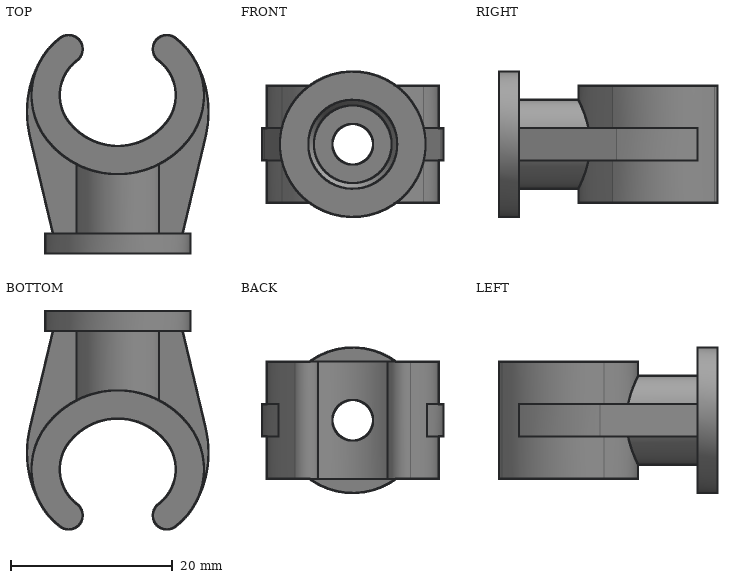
import cadquery as cq
import math

total_length = 27.0

flange_diameter = 18.0
flange_thickness = 2.5
neck_diameter = 11.0
hole_diameter = 5.0
recess_mouth_diameter = 11.0
recess_floor_diameter = 9.6
recess_depth = 1.5

clip_height = 14.5
clip_wall = 3.5
clip_bottom_y = 9.8
side_center_x = 1.75
side_center_y = 19.55
side_outer_radius = 8.9

gusset_thickness = 4.0
gusset_width = 22.47
gusset_base_width = 16.06
gusset_widest_y = 17.5
gusset_side_radius = 12.8
gusset_top_y = 24.5


def point_at(center, radius, angle):
    """Point on a circle at the given angle in radians."""
    return (center[0] + radius * math.cos(angle), center[1] + radius * math.sin(angle))


def mirrored(point):
    """Point reflected across X = 0."""
    return (-point[0], point[1])


bottom_offset = side_center_y - side_outer_radius - clip_bottom_y
center_distance = (side_center_x**2 + bottom_offset**2) / (2 * bottom_offset)
bottom_outer_radius = side_outer_radius + center_distance
bottom_center = (0, clip_bottom_y + bottom_outer_radius)
side_center = (side_center_x, side_center_y)
joint_angle = math.atan2(side_center_y - bottom_center[1], side_center_x)
side_middle_radius = side_outer_radius - clip_wall / 2
tip_angle = math.asin((total_length - clip_wall / 2 - side_center_y) / side_middle_radius)
tip_center = point_at(side_center, side_middle_radius, tip_angle)


def clip_arc_points(inset):
    """Right tip end, middle of side arc and tangent joint of the wall line at this inset."""
    radius = side_outer_radius - inset
    tip_end = point_at(side_center, radius, tip_angle)
    side_middle = point_at(side_center, radius, (tip_angle + joint_angle) / 2)
    joint = point_at(side_center, radius, joint_angle)
    return tip_end, side_middle, joint


def make_clip():
    outer_end, outer_middle, outer_joint = clip_arc_points(0)
    inner_end, inner_middle, inner_joint = clip_arc_points(clip_wall)
    tip_top = point_at(tip_center, clip_wall / 2, tip_angle + math.pi / 2)
    return (
        cq.Workplane("XY")
        .moveTo(*outer_end)
        .threePointArc(outer_middle, outer_joint)
        .threePointArc((0, clip_bottom_y), mirrored(outer_joint))
        .threePointArc(mirrored(outer_middle), mirrored(outer_end))
        .threePointArc(mirrored(tip_top), mirrored(inner_end))
        .threePointArc(mirrored(inner_middle), mirrored(inner_joint))
        .threePointArc((0, clip_bottom_y + clip_wall), inner_joint)
        .threePointArc(inner_middle, inner_end)
        .threePointArc(tip_top, outer_end)
        .close()
        .extrude(clip_height / 2, both=True)
    )


def make_gusset():
    widest = (gusset_width / 2, gusset_widest_y)
    base = (gusset_base_width / 2, flange_thickness)

    arc_center = (widest[0] - gusset_side_radius, gusset_widest_y)
    base_dx = base[0] - arc_center[0]
    base_dy = base[1] - arc_center[1]
    base_distance = math.hypot(base_dx, base_dy)
    tangent_angle = math.atan2(base_dy, base_dx) + math.acos(gusset_side_radius / base_distance)
    arc_start = point_at(arc_center, gusset_side_radius, tangent_angle)

    end_angle = math.asin((gusset_top_y - gusset_widest_y) / gusset_side_radius)
    arc_end = point_at(arc_center, gusset_side_radius, end_angle)

    return (
        cq.Workplane("XY")
        .moveTo(*base)
        .lineTo(*arc_start)
        .threePointArc(widest, arc_end)
        .lineTo(*mirrored(arc_end))
        .threePointArc(mirrored(widest), mirrored(arc_start))
        .lineTo(*mirrored(base))
        .close()
        .extrude(gusset_thickness / 2, both=True)
    )


def make_clearance():
    """Region bounded by the middle of the clip wall, so that the arm ends inside the wall."""
    wall_end, wall_middle, wall_joint = clip_arc_points(clip_wall / 2)
    return (
        cq.Workplane("XY")
        .moveTo(*wall_end)
        .threePointArc(wall_middle, wall_joint)
        .threePointArc((0, clip_bottom_y + clip_wall / 2), mirrored(wall_joint))
        .threePointArc(mirrored(wall_middle), mirrored(wall_end))
        .close()
        .extrude(clip_height / 2, both=True)
    )


def cylinder_along_y(diameter, length):
    """Cylinder about the Y axis starting at the flange face."""
    return cq.Workplane("XZ").circle(diameter / 2).extrude(-length)


def make_recess():
    """Conical recess in the flange face, narrowing toward its flat floor."""
    return (
        cq.Workplane("XY")
        .moveTo(0, 0)
        .lineTo(recess_mouth_diameter / 2, 0)
        .lineTo(recess_floor_diameter / 2, recess_depth)
        .lineTo(0, recess_depth)
        .close()
        .revolve(360, (0, 0), (0, 1))
    )


flange = cylinder_along_y(flange_diameter, flange_thickness)
neck = cylinder_along_y(neck_diameter, bottom_center[1])
arm = neck.union(make_gusset()).cut(make_clearance())
screw_hole = cylinder_along_y(hole_diameter, bottom_center[1])

result = flange.union(arm).union(make_clip()).cut(make_recess()).cut(screw_hole)